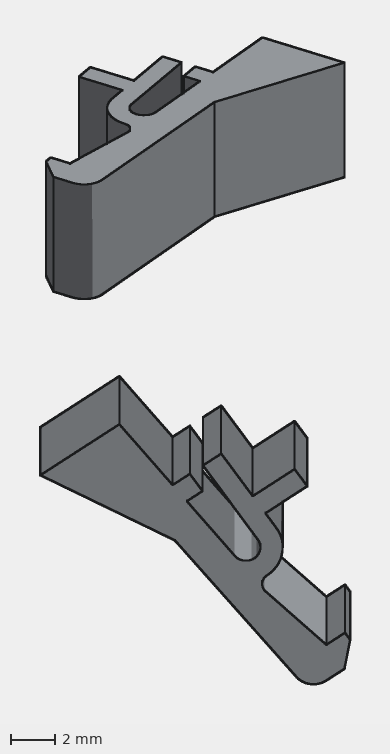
import cadquery as cq
import math

total_width = 9.6
total_length = 15.5
depth = 6.0

wall = 1.0
arm_left = 2.3
arm_top = 11.72
slot_radius = 0.65
bend_center_y = 7.36
stub_bottom = 8.22

arm_right = arm_left + wall
bend_radius = slot_radius + wall
bend_center = (arm_left + bend_radius, bend_center_y)

inner_lean = math.radians(4.6)
outer_lean = math.radians(5)
leg_lean = math.radians(12)
waist_y = 9.45
stop_left = 4.01
neck_radius = 0.5

hook_left = 2.64
hook_top = 1.43
hook_chamfer = 1.0
heel_center_x = 4.65
heel_radius = 1.0


def on_circle(center, radius, angle):
    """Point on a circle, with the angle in radians from +X."""
    return (center[0] + radius * math.cos(angle), center[1] + radius * math.sin(angle))


def point_at_height(start, lean, y):
    """Point at height y on a straight face that leans to +X by the given angle."""
    return (start[0] + (y - start[1]) * math.tan(lean), y)


slot_end = on_circle(bend_center, slot_radius, -inner_lean)
slot_bottom = on_circle(bend_center, slot_radius, -math.pi / 2)
bend_middle = on_circle(bend_center, bend_radius, -3 * math.pi / 4)
bend_end = on_circle(bend_center, bend_radius, -math.pi / 2)

neck_center = (bend_end[0], bend_end[1] - neck_radius)
neck_middle = on_circle(neck_center, neck_radius, math.pi / 4)
neck_end = on_circle(neck_center, neck_radius, -leg_lean)

heel_center = (heel_center_x, heel_radius)
heel_middle = on_circle(heel_center, heel_radius, -math.pi / 4)
heel_end = on_circle(heel_center, heel_radius, -outer_lean)

profile = (
    cq.Workplane("XY")
    .moveTo(arm_right, arm_top)
    .lineTo(arm_left, arm_top)
    .lineTo(arm_left, stub_bottom + wall)
    .lineTo(0, stub_bottom + wall)
    .lineTo(0, stub_bottom)
    .lineTo(arm_left, stub_bottom)
    .lineTo(arm_left, bend_center_y)
    .threePointArc(bend_middle, bend_end)
    .threePointArc(neck_middle, neck_end)
    .lineTo(*point_at_height(neck_end, leg_lean, hook_top))
    .lineTo(hook_left, hook_top)
    .lineTo(hook_left, hook_chamfer)
    .lineTo(hook_left + hook_chamfer, 0)
    .lineTo(heel_center_x, 0)
    .threePointArc(heel_middle, heel_end)
    .lineTo(*point_at_height(heel_end, outer_lean, waist_y))
    .lineTo(total_width, total_length)
    .lineTo(*point_at_height(slot_end, inner_lean, total_length))
    .lineTo(*point_at_height(slot_end, inner_lean, arm_top))
    .lineTo(stop_left, arm_top)
    .lineTo(stop_left, arm_top - wall)
    .lineTo(*point_at_height(slot_end, inner_lean, arm_top - wall))
    .lineTo(*slot_end)
    .threePointArc(slot_bottom, (arm_right, bend_center_y))
    .close()
)

result = profile.extrude(depth)